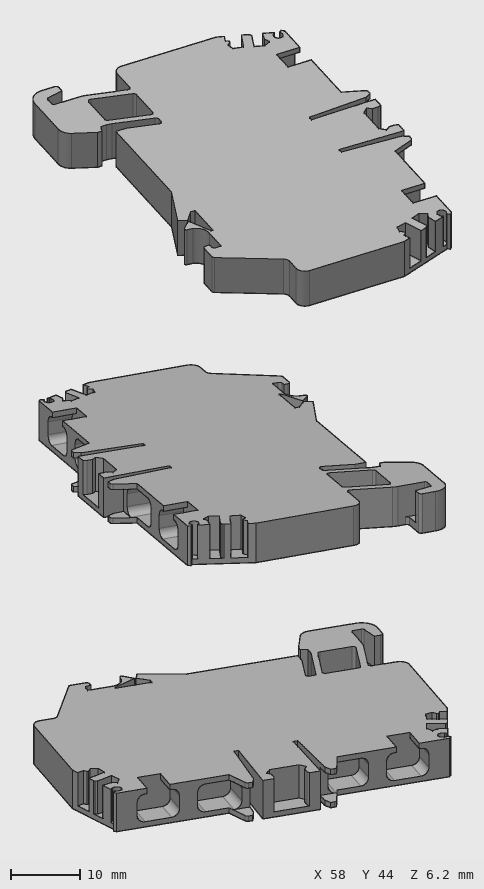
import cadquery as cq
import math

length = 58.0
height = 44.0
thickness = 6.2
half_length = length / 2

wall = 0.85
cavity_height = thickness - 2 * wall
shoulder_y = 40.5
lower_edge_y = 14.05
rail_face_y = 7.1
arm_lean = math.tan(math.radians(15))
arm_shift = (lower_edge_y - rail_face_y) * arm_lean

end_slope_y = 31.05
fin_slope_end_x = 8.35
fin_outer_x = 6.95
fin_inner_x = 6.05
fin_shoulder = (5.5, 43.05)
slit_bottom_y = 33.45
slit_outer_x = 4.95
slit_inner_x = 4.25
tower_half_width = 4.45

claw_tip_x = 16.55
claw_outer_x = 19.55
claw_bottom_y = 4.65
claw_lip_y = 5.75
claw_wall_x = 17.6
claw_root_x = 25.0

lip_tip = (11.6, 4.05)

foot_top_y = 5.0
foot_left_arm_x = -25.05
foot_right_arm_x = -17.0
left_arm_width = 1.15
right_arm_width = 1.0
slot_top_x = -13.5
slot_lean_end_y = 8.8
slot_bottom_x = slot_top_x - (lower_edge_y - slot_lean_end_y) * arm_lean
hook_floor = 1.2
heel_x = -18.05
pocket_bottom_y = 2.15

notch_outer_x = 21.05
notch_inner_x = 17.5
notch_depth = 3.8
entry_margin = 1.5
entry_radius = 1.2
tool_entry_inner_x = 6.65
fin_core_top_y = 41.3

housing_radius = 1.45
claw_root_radius = 1.05
foot_radius = 2.45
foot_heel_radius = 2.05
small_radius = 0.45
fine_radius = 0.3
arm_base_radius = 3.3

groove_centre = (-25.2, 39.15)
groove_radius = 0.7


def mirror_points(points):
    return [(-x, y) for x, y in reversed(points)]


def prism(points, bottom, top):
    return cq.Workplane("XY").workplane(offset=bottom).polyline(points).close().extrude(top - bottom)


def both_sides(shape):
    return shape.union(shape.mirror("YZ"))


def round_corners(body, corners, radius):
    for x, y in corners:
        nearest = cq.selectors.NearestToPointSelector((x, y, thickness / 2))
        body = body.edges("|Z").edges(nearest).fillet(radius)
    return body


def make_body():
    upper_left = [
        (-half_length, end_slope_y),
        (-25.8, 39.75),
        (-26.1, 40.1),
        (-25.75, shoulder_y),
        (-fin_slope_end_x, shoulder_y),
        (-fin_outer_x, height),
        (-fin_inner_x, height),
        (-fin_shoulder[0], fin_shoulder[1]),
        (-slit_outer_x, slit_bottom_y),
        (-slit_inner_x, slit_bottom_y),
        (-tower_half_width, height),
    ]
    rail_claw = [
        (half_length, lower_edge_y),
        (claw_root_x, lower_edge_y),
        (claw_outer_x, claw_bottom_y),
        (claw_tip_x, claw_bottom_y),
        (claw_tip_x, claw_lip_y),
        (claw_wall_x, claw_lip_y),
        (claw_wall_x, rail_face_y),
        (14.05, rail_face_y),
    ]
    spring_lips = [
        (11.8, 5.5),
        lip_tip,
        (9.8, 5.8),
        (13.5, 7.6),
        (13.5, 7.9),
        (7.95, 7.9),
        (7.95, 7.2),
        (9.6, 5.8),
        (9.0, 4.5),
        (2.25, rail_face_y),
    ]
    arm_slot = [
        (slot_bottom_x, rail_face_y),
        (slot_bottom_x, slot_lean_end_y),
        (slot_top_x, lower_edge_y),
        (foot_right_arm_x + arm_shift, lower_edge_y),
        (foot_right_arm_x, rail_face_y),
    ]
    foot = [
        (foot_right_arm_x, 5.75),
        (-15.95, 5.4),
        (-15.95, 4.65),
        (heel_x, 0),
        (-half_length, 0),
        (-half_length, foot_top_y),
        (foot_left_arm_x, foot_top_y),
        (foot_left_arm_x, rail_face_y),
        (foot_left_arm_x + arm_shift, lower_edge_y),
        (-half_length, lower_edge_y),
    ]
    outline = cq.Workplane("XY").polyline(upper_left + mirror_points(upper_left) + rail_claw)
    outline = outline.threePointArc((12.35, 6.5), spring_lips[0])
    outline = outline.polyline(spring_lips[1:] + arm_slot + foot, includeCurrent=True)
    body = outline.close().extrude(thickness)

    arm_tops = [
        (slot_top_x, lower_edge_y),
        (foot_right_arm_x + arm_shift, lower_edge_y),
        (foot_left_arm_x + arm_shift, lower_edge_y),
    ]
    claw_corners = [
        (claw_tip_x, claw_bottom_y),
        (claw_outer_x, claw_bottom_y),
        (claw_wall_x, claw_lip_y),
    ]
    hook_corners = [(-half_length, foot_top_y), (foot_left_arm_x, foot_top_y)]
    fin_tips = [(-fin_outer_x, height), (fin_outer_x, height)]
    body = round_corners(body, arm_tops + claw_corners + hook_corners + fin_tips, small_radius)
    body = round_corners(body, [lip_tip], fine_radius)
    arm_bases = [(foot_left_arm_x, rail_face_y), (foot_right_arm_x, rail_face_y)]
    body = round_corners(body, arm_bases, arm_base_radius)
    housing_ends = [(-half_length, lower_edge_y), (half_length, lower_edge_y)]
    body = round_corners(body, housing_ends, housing_radius)
    body = round_corners(body, [(claw_root_x, lower_edge_y)], claw_root_radius)
    body = round_corners(body, [(-half_length, 0)], foot_radius)
    return round_corners(body, [(heel_x, 0)], foot_heel_radius)


def make_arm_window():
    left_x = foot_left_arm_x + left_arm_width
    right_x = foot_right_arm_x - right_arm_width
    points = [
        (left_x, rail_face_y),
        (right_x, rail_face_y),
        (right_x + arm_shift, lower_edge_y),
        (left_x + arm_shift, lower_edge_y),
    ]
    return prism(points, 0, thickness).edges("|Z").fillet(small_radius)


def make_hook_pocket():
    top_y = foot_top_y + small_radius
    points = [
        (-27.55, top_y),
        (-27.55, foot_top_y),
        (-26.9, pocket_bottom_y),
        (foot_left_arm_x, pocket_bottom_y),
        (foot_left_arm_x, top_y),
    ]
    pocket = prism(points, hook_floor, thickness)
    return pocket.edges("|Z and <Y").fillet(fine_radius)


def make_end_grooves():
    upper_groove_mouth = [
        groove_centre,
        (-25.7, 39.75),
        (-26.35, 39.45),
        (-26.35, 39.15),
        (-26.0, 39.0),
        (-25.85, 38.75),
        (-25.7, 38.55),
    ]
    middle_groove = [
        (-27.25, 37.45),
        (-26.55, 37.3),
        (-25.25, 36.95),
        (-24.35, 37.3),
        (-23.8, 36.2),
        (-24.35, 34.75),
        (-26.9, 35.7),
        (-27.2, 35.6),
        (-27.45, 35.4),
        (-27.85, 36.0),
    ]
    lower_groove = [
        (-28.4, 34.7),
        (-27.6, 34.4),
        (-24.95, 33.35),
        (-25.35, 31.8),
        (-26.45, 31.55),
        (-26.9, 32.2),
        (-27.2, 32.2),
        (-27.55, 31.7),
        (-29.0, 32.3),
    ]
    grooves = cq.Workplane("XY").workplane(offset=wall).center(*groove_centre)
    grooves = grooves.circle(groove_radius).extrude(thickness - wall)
    for points in (upper_groove_mouth, middle_groove, lower_groove):
        grooves = grooves.union(prism(points, wall, thickness))
    return both_sides(grooves)


def make_tower_pocket():
    left = [(-2.25, 41.0), (-3.1, 41.9), (-2.55, 42.6), (-2.55, 43.45), (-2.7, height)]
    return prism(left + mirror_points(left), wall, thickness)


def make_entry(outer_x, inner_x, top_y):
    """Round-cornered cavity running down from top_y to the bottom of the notches."""
    depth = top_y - shoulder_y + notch_depth
    cavity = cq.Workplane("XY").box(inner_x - outer_x, depth, cavity_height, centered=False)
    cavity = cavity.edges("|Y").fillet(entry_radius)
    return cavity.translate((outer_x, shoulder_y - notch_depth, wall))


def make_entries():
    notch = cq.Workplane("XY").box(
        notch_outer_x - notch_inner_x, notch_depth, thickness / 2, centered=False
    ).translate((-notch_outer_x, shoulder_y - notch_depth, thickness / 2))
    wire_outer_x = -notch_outer_x - entry_margin
    wire_inner_x = -notch_inner_x + entry_margin
    wire_entry = make_entry(wire_outer_x, wire_inner_x, shoulder_y)
    tool_outer_x = -tool_entry_inner_x - (wire_inner_x - wire_outer_x)
    tool_entry = make_entry(tool_outer_x, -tool_entry_inner_x, height)
    fin_gap = prism(
        [
            (-fin_slope_end_x, fin_core_top_y),
            (-slit_outer_x, fin_core_top_y),
            (-slit_outer_x, height),
            (-fin_slope_end_x, height),
        ],
        wall,
        thickness - wall,
    )
    return both_sides(notch.union(wire_entry).union(tool_entry).union(fin_gap))


result = (
    make_body()
    .cut(make_arm_window())
    .cut(make_hook_pocket())
    .cut(make_end_grooves())
    .cut(make_tower_pocket())
    .cut(make_entries())
)